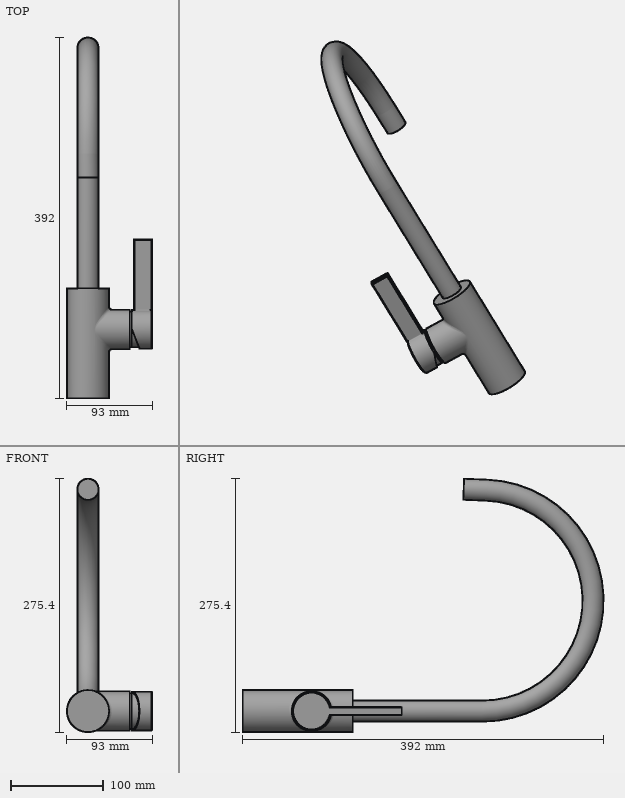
import cadquery as cq
import math

overall_length = 392.0
overall_width = 93.0
housing_radius = 46.0 / 2
housing_length = 119.5
branch_radius = 21.5
branch_y = 75.0
branch_end_x = 45.5
branch_fillet = 3.0
neck_radius = 19.5
neck_end_x = 48.0

spout_radius = 23.0 / 2
bend_radius = 120.0
bend_shortfall = math.radians(2.3)
tip_length = 25.5
bend_y = overall_length - spout_radius - bend_radius

lever_end_x = overall_width - housing_radius
cap_radius = 21.0
cap_chamfer = 1.0
underside_rise = 8.2
bar_start_x = 49.8
bar_end_y = 173.0
bar_thickness = 9.5
bar_chamfer = 0.98
bar_root_fillet = 1.0


def cylinder_along_x(radius, start_x, end_x):
    """Cylinder on the branch axis between two X positions."""
    return (
        cq.Workplane("YZ", origin=(start_x, branch_y, 0))
        .circle(radius)
        .extrude(end_x - start_x)
    )


def make_housing():
    """Housing with its blended branch and the narrower neck at the branch end."""
    barrel = cq.Workplane("XZ").circle(housing_radius).extrude(-housing_length)
    branch = cylinder_along_x(branch_radius, 0, branch_end_x)
    joint = cq.selectors.BoxSelector(
        (housing_radius / 10, branch_y - housing_radius, -housing_radius),
        (housing_radius, branch_y + housing_radius, housing_radius),
    )
    body = barrel.union(branch).edges(joint).fillet(branch_fillet)
    return body.union(cylinder_along_x(neck_radius, branch_end_x, neck_end_x))


def make_spout():
    """Round bar swept along the straight pipe, the bend and the tangent tip."""

    def bend_point(angle):
        """Point on the bend centreline, as (Y, Z), at an angle from its start."""
        return (
            bend_y + bend_radius * math.sin(angle),
            bend_radius * (1 - math.cos(angle)),
        )

    bend_angle = math.pi - bend_shortfall
    bend_end = bend_point(bend_angle)
    tip_end = (
        bend_end[0] + tip_length * math.cos(bend_angle),
        bend_end[1] + tip_length * math.sin(bend_angle),
    )
    path = (
        cq.Workplane("YZ")
        .moveTo(housing_length, 0)
        .lineTo(bend_y, 0)
        .threePointArc(bend_point(bend_angle / 2), bend_end)
        .lineTo(*tip_end)
    )
    profile = cq.Workplane("XZ", origin=(0, housing_length, 0)).circle(spout_radius)
    return profile.sweep(path)


def make_lever():
    """Cap with an inclined underside over a round plug, and a chamfered bar."""
    cap_side = (
        cq.Workplane("XY", origin=(0, 0, -cap_radius))
        .moveTo(neck_end_x, branch_y + cap_radius)
        .lineTo(lever_end_x, branch_y + cap_radius)
        .lineTo(lever_end_x, branch_y - cap_radius)
        .lineTo(neck_end_x + underside_rise, branch_y - cap_radius)
        .lineTo(neck_end_x, branch_y)
        .close()
        .extrude(2 * cap_radius)
    )
    cap = cylinder_along_x(cap_radius, neck_end_x, lever_end_x).intersect(cap_side)
    cap = cap.faces(">X").edges().chamfer(cap_chamfer)
    plug = cylinder_along_x(neck_radius, neck_end_x, lever_end_x - cap_chamfer)
    bar = (
        cq.Workplane("XY", origin=(bar_start_x, branch_y, -bar_thickness / 2))
        .box(lever_end_x - bar_start_x, bar_end_y - branch_y, bar_thickness, centered=False)
        .faces("|Z")
        .edges("<X or >X or >Y")
        .chamfer(bar_chamfer)
    )
    root = cq.selectors.BoxSelector(
        (bar_start_x - bar_chamfer, branch_y + cap_radius - bar_chamfer, -bar_thickness),
        (lever_end_x - cap_chamfer, branch_y + cap_radius + bar_chamfer, bar_thickness),
    )
    lever = cap.union(bar).edges(root).fillet(bar_root_fillet)
    return lever.union(plug)


housing = make_housing()
spout = make_spout()
lever = make_lever()

result = cq.Compound.makeCompound([housing.val(), spout.val(), lever.val()])